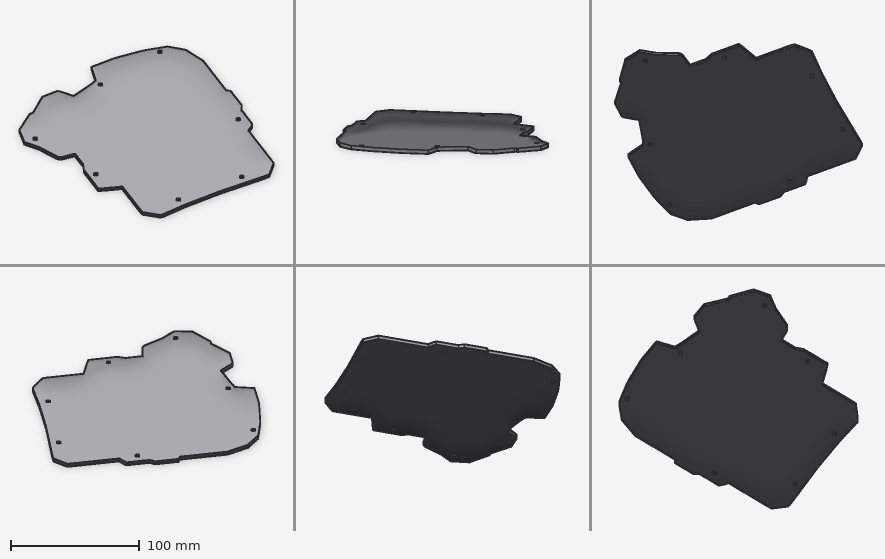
import cadquery as cq

length = 170.6
width = 167.9
thickness = 3.0
hole_diameter = 3.0

shoulder_y = 165.2
right_step_y = 159.0
lower_step_y = 43.2
tab_bottom_y = 25.8
inner_bottom_y = 28.3
lobe_left_x = 10.5
waist_x = 168.5

left_side = [
    (0, 85.7),
    (0, 105.3),
    (0.5, 109.9),
    (3.0, 128.0),
    (4.0, 132.2),
    (8.5, 148.5),
    (18.5, right_step_y),
    (35.7, shoulder_y),
]
top_side = [
    (73.0, shoulder_y),
    (75.0, width),
    (93.3, width),
    (97.3, shoulder_y),
    (115.5, shoulder_y),
    (117.9, 162.5),
    (120.1, right_step_y),
    (161.0, right_step_y),
]
right_side = [
    (170.5, 150.1),
    (length, 146.7),
    (waist_x, 106.6),
    (waist_x, 76.8),
    (169.8, 55.3),
    (169.0, 53.7),
    (160.0, 43.5),
    (157.1, lower_step_y),
]
bottom_side = [
    (127.5, lower_step_y),
    (122.2, 29.5),
    (120.5, tab_bottom_y),
    (97.5, tab_bottom_y),
    (91.6, inner_bottom_y),
    (78.0, inner_bottom_y),
    (76.3, 17.0),
    (74.4, 14.8),
    (58.5, 7.5),
    (47.8, 0),
]
lower_left_lobe = [
    (44.2, 0.9),
    (34.1, 3.0),
    (22.4, 18.8),
    (22.7, 20.1),
    (22.4, 21.7),
    (lobe_left_x, 36.3),
    (lobe_left_x, 49.7),
    (12.1, 51.4),
    (21.5, 58.0),
    (16.9, 75.2),
    (14.7, 81.5),
]
outline = left_side + top_side + right_side + bottom_side + lower_left_lobe

column_x = 105.6
hole_centres = [
    (10.7, 140.5),
    (20.3, 82.4),
    (48.5, 9.2),
    (column_x, 158.0),
    (column_x, 31.7),
    (162.8, 129.8),
    (161.0, 74.5),
]

plate = cq.Workplane("XY").polyline(outline).close().extrude(thickness)
holes = cq.Workplane("XY").pushPoints(hole_centres).circle(hole_diameter / 2).extrude(thickness)

result = plate.cut(holes)